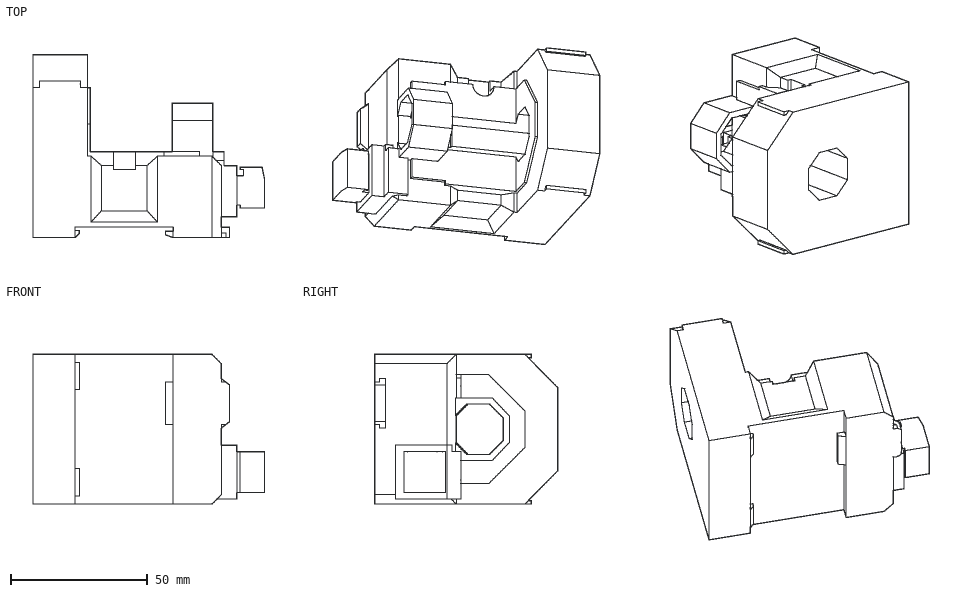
import cadquery as cq

height = 67.0
width = 55.0
mid_z = width / 2

plate_x = 20.1
plate_chamfer_y = 12.1
plate_chamfer_z = 12.2
shoulder_y = height - plate_chamfer_y
ear_x0 = 2.4
ear_x1 = 17.4
ear_y = 57.3
ear_z = 1.4

body_x = 69.1
body_y = 29.9
bevel = 3.5
waist_x0 = 21.3
waist_x1 = 45.7
waist_y0 = 5.7
waist_depth = 3.5
waist_slope_x = 3.8
waist_slope_y = 4.2
waist_floor_x1 = waist_x1 - waist_slope_x

rail_x0 = 15.55
rail_x1 = 51.4
rail_y = 3.9
hook_reach = 1.5
hook_z = 9.9
hook_inset = 3.1
hook_y = 2.7
hook_tip_y = 1.5
latch_reach = 2.8
latch_z0 = 29.1
latch_z1 = 44.8
latch_y = 2.4
latch_tip_y = 1.0
knob_x = 72.1
knob_step_y = 1.8
knob_overhang = 1.3
knob_slope_z = 2.4

bore_y = 38.3
bore_size = 18.4
bore_corner = 5.1

carrier_z = 39.9
tongue_x = 21.1
tongue_chamfer = 13.25
shelf_x = 48.1
shelf_y = 31.5
tab_x = 61.0
tab_z = 37.4
groove_x = 33.55
groove_radius = 4.1
groove_y = 25.0

frame_x0 = 51.05
frame_x1 = 65.9
frame_y = 49.3
frame_z = 23.0
frame_chamfer_y = 6.3
frame_chamfer_z = 6.6
frame_bore_drop = 0.5

socket_x = 74.75
socket_y0 = 7.65
socket_y1 = 26.4
socket_z0 = 1.9
socket_z1 = 21.7
rib_x = 70.1
rib_y = 28.2
rib_step_z = 2.4
plug_x = 84.95
plug_z0 = 4.25
plug_z1 = 19.3
plug_y0 = 10.8
plug_y1 = 25.8
neck_y0 = 12.0
neck_y1 = 22.8
plug_back_x = 75.95
plug_notch_x = 77.1
plug_lip_y = 24.9
plug_slope_x = 84.0
plug_slope_y = 21.3


def block(x0, x1, y0, y1, z0, z1):
    return cq.Workplane("XY").box(x1 - x0, y1 - y0, z1 - z0, centered=False).translate((x0, y0, z0))


def prism_z(points, z0, z1):
    """Extrude an XY outline between two Z levels."""
    return cq.Workplane("XY").workplane(offset=z0).polyline(points).close().extrude(z1 - z0)


def arch_plate(x0, x1, y0, y1, z_size, chamfer_y, chamfer_z):
    """Plate across X, centred on the width, with both +Y corners cut off."""
    half = z_size / 2
    points = [
        (y0, mid_z - half),
        (y1 - chamfer_y, mid_z - half),
        (y1, mid_z - half + chamfer_z),
        (y1, mid_z + half - chamfer_z),
        (y1 - chamfer_y, mid_z + half),
        (y0, mid_z + half),
    ]
    return cq.Workplane("YZ").workplane(offset=x0).polyline(points).close().extrude(x1 - x0)


def octagon_bore(x0, x1, centre_y):
    bore = block(x0, x1, centre_y - bore_size / 2, centre_y + bore_size / 2,
                 mid_z - bore_size / 2, mid_z + bore_size / 2)
    return bore.edges("|X").chamfer(bore_corner)


def mirrored_in_width(shape):
    return shape.union(shape.mirror("XY", (0, 0, mid_z)))


def make_plate():
    plate = arch_plate(0, plate_x, 0, height, width, plate_chamfer_y, plate_chamfer_z)
    ear = block(ear_x0, ear_x1, shoulder_y - ear_z, ear_y, width - ear_z, width)
    return plate.union(mirrored_in_width(ear))


def make_waist_cut():
    """Tapered recess wrapped around the +Y and both Z sides of the body."""
    mouth_x = waist_x1 - waist_x0
    mouth_y = height - waist_y0
    pocket = (
        cq.Workplane("XY")
        .workplane(offset=width)
        .center(waist_x0 + mouth_x / 2, waist_y0 + mouth_y / 2)
        .rect(mouth_x, mouth_y)
        .workplane(offset=-waist_depth)
        .center(0, waist_slope_y / 2)
        .rect(mouth_x - 2 * waist_slope_x, mouth_y - waist_slope_y)
        .loft(ruled=True)
    )
    side = prism_z([
        (waist_x0, body_y),
        (waist_x0 + waist_slope_x, body_y - waist_depth),
        (waist_floor_x1, body_y - waist_depth),
        (waist_x1, body_y),
    ], 0, width)
    return mirrored_in_width(pocket).union(side)


def make_body():
    """Plate and waisted block in one, with the rail recess and the bore."""
    main = block(0, body_x, 0, body_y, 0, width)
    main = main.faces(">X").edges("|Y or >Y").chamfer(bevel)
    main = main.cut(make_waist_cut()).union(make_plate())
    main = main.cut(block(rail_x0, rail_x1, 0, rail_y, 0, width))
    return main.cut(octagon_bore(0, waist_floor_x1, bore_y))


def make_carrier():
    z0 = mid_z - carrier_z / 2
    z1 = mid_z + carrier_z / 2
    root_y = body_y - 2 * waist_depth
    tongue = arch_plate(plate_x, tongue_x, root_y, shoulder_y, carrier_z, tongue_chamfer, tongue_chamfer)
    shelf = block(plate_x, shelf_x, root_y, shelf_y, z0, z1)
    tab = block(shelf_x, tab_x, root_y, shelf_y, mid_z - tab_z / 2, mid_z + tab_z / 2)
    carrier = tongue.union(shelf).union(tab)
    return carrier.cut(octagon_bore(plate_x, tab_x, bore_y))


def make_groove():
    """Round-bottomed groove along Y, open to the +Z side."""
    centre_z = mid_z + carrier_z / 2
    round_bottom = (
        cq.Workplane("XZ", origin=(groove_x, groove_y, centre_z))
        .circle(groove_radius)
        .extrude(groove_y - shelf_y)
    )
    opening = block(groove_x - groove_radius, groove_x + groove_radius, groove_y, shelf_y, centre_z, width)
    return round_bottom.union(opening)


def make_frame():
    frame = arch_plate(frame_x0, frame_x1, body_y - waist_depth, frame_y, frame_z,
                       frame_chamfer_y, frame_chamfer_z)
    return frame.cut(octagon_bore(frame_x0, frame_x1, bore_y - frame_bore_drop))


def make_rail_hooks():
    hook_points = [
        (rail_x0, 0),
        (rail_x0 + hook_reach, hook_tip_y),
        (rail_x0 + hook_reach, hook_y),
        (rail_x0, hook_y),
    ]
    return mirrored_in_width(prism_z(hook_points, hook_inset, hook_inset + hook_z))


def make_latch():
    tip = prism_z([
        (rail_x1, 0),
        (rail_x1 - latch_reach, latch_tip_y),
        (rail_x1 - latch_reach, latch_y),
        (rail_x1, latch_y),
    ], latch_z0, latch_z1)
    z0 = latch_z0 - knob_overhang
    z1 = latch_z1 + knob_overhang
    knob = (
        cq.Workplane("XZ")
        .polyline([
            (body_x, z0),
            (knob_x, z0 + knob_slope_z),
            (knob_x, z1 - knob_slope_z),
            (body_x, z1),
        ])
        .close()
        .extrude(-rail_y)
    )
    for step_z0, step_z1 in ((z0, latch_z0), (latch_z1, z1)):
        knob = knob.cut(block(body_x, knob_x, 0, knob_step_y, step_z0, step_z1))
    return tip.union(knob)


def make_socket():
    socket = block(frame_x1, socket_x, socket_y0, socket_y1, socket_z0, socket_z1)
    rib = block(frame_x1, rib_x, socket_y0, rib_y, socket_z0, socket_z1)
    low_rib = block(frame_x1 - bevel, rib_x, socket_y0, shelf_y, socket_z0, socket_z1 - rib_step_z)
    return socket.union(rib).union(low_rib)


def make_plug():
    return prism_z([
        (socket_x, neck_y0),
        (plug_back_x, neck_y0),
        (plug_back_x, plug_y0),
        (plug_x, plug_y0),
        (plug_x, plug_slope_y),
        (plug_slope_x, plug_y1),
        (plug_back_x, plug_y1),
        (plug_back_x, plug_lip_y),
        (plug_notch_x, plug_lip_y),
        (plug_notch_x, neck_y1),
        (socket_x, neck_y1),
    ], plug_z0, plug_z1)


result = make_body().union(make_carrier()).cut(make_groove())
for feature in (make_frame(), make_rail_hooks(), make_latch(), make_socket(), make_plug()):
    result = result.union(feature)